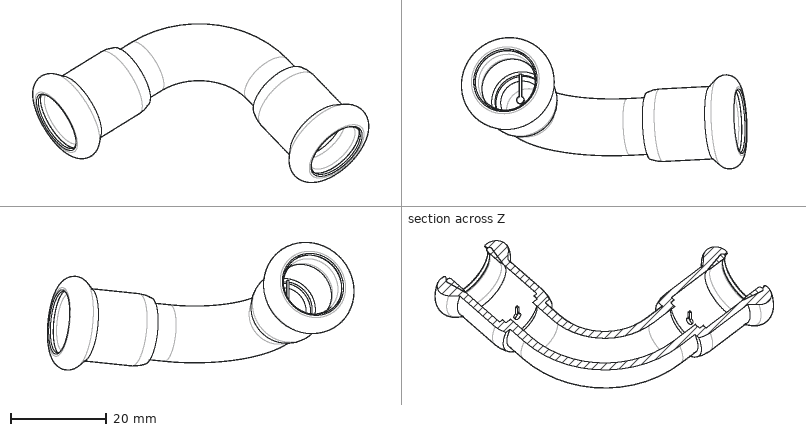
import cadquery as cq
import math

overall_side = 51.9
bead_radius = 9.9
mouth_distance = overall_side - bead_radius
bend_start = 23.9
bend_radius = mouth_distance - bend_start

pipe_radius = 12.0 / 2
sleeve_radius = 15.3 / 2
rim_radius = 7.25
bead_round = bead_radius - rim_radius
bead_cone_angle = math.radians(43)
nose_start = 16.9
nose_end = 19.55
nose_radius = 7.05
nose_bulge = 0.15

mouth_radius = 6.8
lip_radius = 13.0 / 2
lip_depth = 0.25
socket_radius = 6.25
socket_depth = 16.6
step_radius = 11.0 / 2
step_depth = 17.65
bore_radius = 9.0 / 2

seal_radius = 6.05
seal_round = 0.5
seal_center_depth = 1.5
seal_center_radius = seal_radius + seal_round
seal_land_end = 5.0
seal_tail_end = 6.2
groove_radius = 6.75
groove_start = seal_center_depth - seal_round

tab_disc_radius = 0.8
tab_stem_width = 0.45
tab_top = 5.65
tab_thickness = 0.5


def seal_arc_point(angle_degrees):
    """(radius, depth) on the seal's round; 180 is the inside, 270 the front."""
    angle = math.radians(angle_degrees)
    return (
        seal_center_radius + seal_round * math.cos(angle),
        seal_center_depth + seal_round * math.sin(angle),
    )


def tail_arc_middle():
    """Middle point of the tail arc, which leaves the land tangentially."""
    length = seal_tail_end - seal_land_end
    rise = socket_radius - seal_radius
    tail_round = (length**2 + rise**2) / (2 * rise)
    half_angle = math.asin(length / tail_round) / 2
    return (
        seal_radius + tail_round * (1 - math.cos(half_angle)),
        seal_land_end + tail_round * math.sin(half_angle),
    )


def spin(profile):
    return profile.close().revolve(360, (0, 0), (0, 1))


def bead_point(angle):
    return (rim_radius + bead_round * math.cos(angle), bead_round * (1 + math.sin(angle)))


def socket_outside():
    """Solid socket with its bead, tapered shoulder, sleeve, rounded nose and pipe stub."""
    bead_end = bead_point(bead_cone_angle)
    shoulder_depth = bead_end[1] + (bead_end[0] - sleeve_radius) / math.tan(bead_cone_angle)
    nose_middle = ((sleeve_radius + nose_radius) / 2 + nose_bulge, (nose_start + nose_end) / 2)
    return spin(
        cq.Workplane("XY")
        .lineTo(rim_radius, 0)
        .threePointArc(bead_point(0), bead_end)
        .lineTo(sleeve_radius, shoulder_depth)
        .lineTo(sleeve_radius, nose_start)
        .threePointArc(nose_middle, (nose_radius, nose_end))
        .lineTo(pipe_radius, nose_end)
        .lineTo(pipe_radius, bend_start)
        .lineTo(0, bend_start)
    )


def socket_cavity():
    """Chamfered mouth, undercut lip and stepped bore."""
    return spin(
        cq.Workplane("XY")
        .lineTo(mouth_radius, 0)
        .lineTo(lip_radius, lip_depth)
        .lineTo(groove_radius, groove_start)
        .lineTo(groove_radius, seal_center_depth)
        .lineTo(socket_radius, seal_center_depth)
        .lineTo(socket_radius, socket_depth)
        .lineTo(step_radius, socket_depth)
        .lineTo(step_radius, step_depth)
        .lineTo(bore_radius, step_depth)
        .lineTo(bore_radius, bend_start)
        .lineTo(0, bend_start)
    )


def seal_ring():
    """Ring with a round front, a cylindrical land and a tail that meets the socket bore."""
    return spin(
        cq.Workplane("XY")
        .moveTo(seal_radius, seal_land_end)
        .lineTo(seal_radius, seal_center_depth)
        .threePointArc(seal_arc_point(270), seal_arc_point(360))
        .lineTo(socket_radius, seal_tail_end)
        .threePointArc(tail_arc_middle(), (seal_radius, seal_land_end))
    )


def keyhole_tab():
    """Disc on the socket axis, held by a stem that reaches onto the stop ledge."""
    disc = cq.Workplane("XZ").circle(tab_disc_radius).extrude(-tab_thickness)
    stem = cq.Workplane("XZ").center(0, tab_top / 2).rect(tab_stem_width, tab_top).extrude(-tab_thickness)
    return disc.union(stem).translate((0, socket_depth - tab_thickness, 0))


def bend(radius):
    """Quarter torus joining the inner ends of the two sockets."""
    return (
        cq.Workplane("XZ", origin=(0, -bend_radius, 0))
        .circle(radius)
        .revolve(90, (bend_radius, 0), (bend_radius, -1))
    )


def at_front(shape):
    return shape.translate((0, -mouth_distance, 0))


def at_side(shape):
    return at_front(shape).rotate((0, 0, 0), (0, 0, 1), 90)


socket_places = [at_front, at_side]

socket = socket_outside().cut(socket_cavity()).cut(seal_ring()).union(keyhole_tab())
elbow = bend(pipe_radius).cut(bend(bore_radius))
for place in socket_places:
    elbow = elbow.union(place(socket))

seals = [place(seal_ring()) for place in socket_places]

result = cq.Compound.makeCompound([elbow.val(), *[seal.val() for seal in seals]])